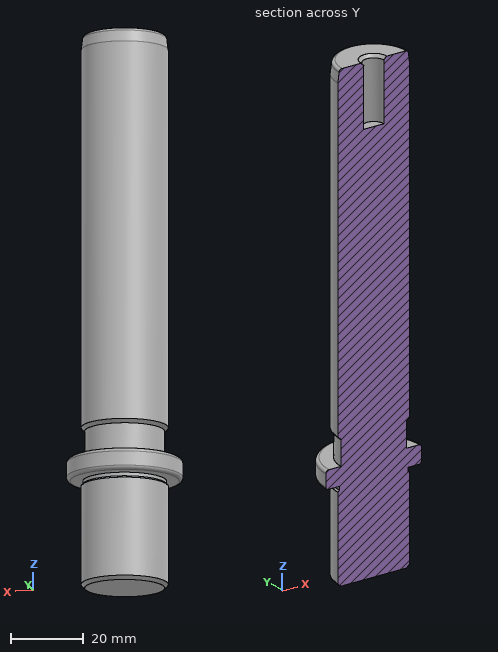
import cadquery as cq

total_length = 155.0
shank_length = 30.0
flange_thickness = 6.0
neck_length = 8.0

pin_diameter = 24.0
neck_diameter = 22.0
relief_diameter = 23.0
flange_diameter = 32.0
lead_in_diameter = 23.0

shank_chamfer = 1.0
flange_fillet = 1.0
guide_chamfer = 1.0
relief_height = 1.0
relief_taper_height = 0.5
lead_in_length = 4.0
top_fillet = 1.0

hole_diameter = 6.6
hole_mouth_diameter = 8.5
hole_depth = 20.0

flange_top = shank_length + flange_thickness
neck_top = flange_top + neck_length
lead_in_start = total_length - lead_in_length
pin_radius = pin_diameter / 2
neck_radius = neck_diameter / 2
relief_radius = relief_diameter / 2
flange_radius = flange_diameter / 2
lead_in_radius = lead_in_diameter / 2


def make_pin():
    """Turned body, revolved from its half profile of (radius, height) points."""
    relief_bottom = shank_length - relief_height
    shank = [
        (0, 0),
        (pin_radius - shank_chamfer, 0),
        (pin_radius, shank_chamfer),
        (pin_radius, relief_bottom - relief_taper_height),
        (relief_radius, relief_bottom),
        (relief_radius, shank_length),
    ]
    flange = [
        (flange_radius, shank_length),
        (flange_radius, flange_top),
    ]
    guide = [
        (neck_radius, flange_top),
        (neck_radius, neck_top),
        (pin_radius, neck_top + guide_chamfer),
        (pin_radius, lead_in_start),
        (lead_in_radius, total_length),
        (0, total_length),
    ]
    profile = cq.Workplane("XZ").polyline(shank + flange + guide).close()
    body = profile.revolve(360, (0, 0, 0), (0, 1, 0))
    body = body.faces(">Z").edges().fillet(top_fillet)
    return body.edges(cq.selectors.RadiusNthSelector(-1)).fillet(flange_fillet)


def make_hole():
    """Flat-bottomed hole with a 45 degree countersunk mouth."""
    hole_radius = hole_diameter / 2
    mouth_radius = hole_mouth_diameter / 2
    mouth_depth = mouth_radius - hole_radius
    hole_bottom = total_length - hole_depth
    profile = cq.Workplane("XZ").polyline([
        (0, hole_bottom),
        (hole_radius, hole_bottom),
        (hole_radius, total_length - mouth_depth),
        (mouth_radius, total_length),
        (0, total_length),
    ]).close()
    return profile.revolve(360, (0, 0, 0), (0, 1, 0))


result = make_pin().cut(make_hole())